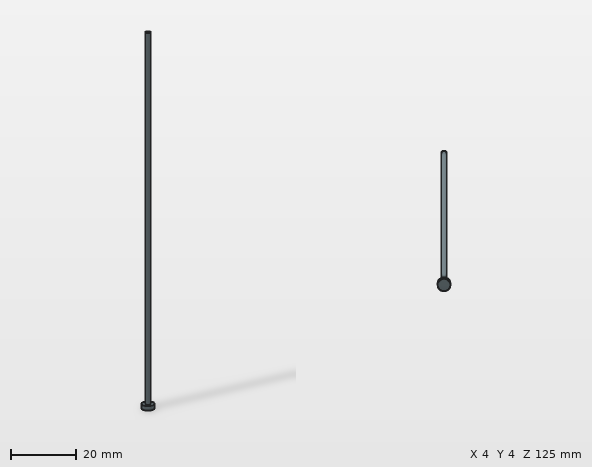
import cadquery as cq

total_length = 125.0
head_diameter = 4.0
head_thickness = 1.5
shaft_diameter = 1.7
shaft_length = total_length - head_thickness


def make_head():
    """Flat disc with its underside on the XY plane."""
    return cq.Workplane("XY").circle(head_diameter / 2).extrude(head_thickness)


def add_shaft(head):
    """Round shaft rising from the centre of the head."""
    return head.faces(">Z").workplane().circle(shaft_diameter / 2).extrude(shaft_length)


result = add_shaft(make_head())